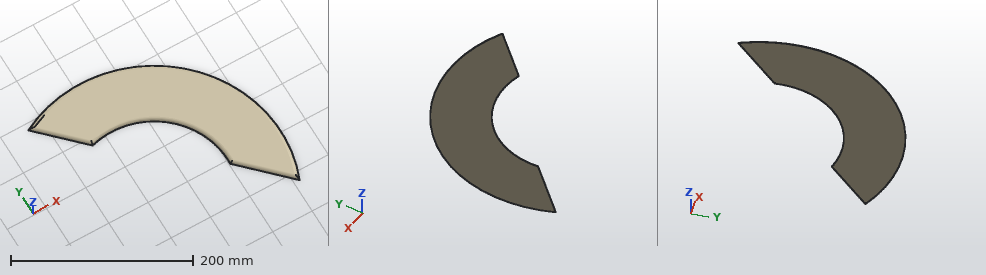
import cadquery as cq
import math

outer_radius = 161.0
inner_radius = 93.2
thickness = 3.0
edge_radius = 5.0
upper_end_offset = 44.7
lower_end_offset = 61.5
axis_angle = 45

edge_drop = edge_radius - thickness
edge_width = math.sqrt(edge_radius**2 - edge_drop**2)
half_angle = (math.pi / 2 + math.asin(edge_drop / edge_radius)) / 2
arc_mid_run = edge_radius * math.cos(half_angle)
arc_mid_height = edge_radius * math.sin(half_angle) - edge_drop


def rounded_section(plane, start, end, round_end):
    """Plate section from start to end with a rounded start and, if asked, end."""
    section = (
        cq.Workplane(plane)
        .moveTo(start, 0)
        .threePointArc(
            (start + edge_width - arc_mid_run, arc_mid_height),
            (start + edge_width, thickness),
        )
    )
    if round_end:
        section = section.lineTo(end - edge_width, thickness).threePointArc(
            (end - edge_width + arc_mid_run, arc_mid_height), (end, 0)
        )
    else:
        section = section.lineTo(end, thickness).lineTo(end, 0)
    return section.close()


def end_half(offset, side):
    """Half of the ring, on one side of the X axis, trimmed by a rounded straight end."""
    trim = rounded_section("XZ", offset, 2 * outer_radius, False)
    trim = trim.extrude(-side * 2 * outer_radius)
    return ring.intersect(trim)


ring = rounded_section("XZ", inner_radius, outer_radius, True).revolve(360, (0, 0, 0), (0, 1, 0))

upper_half = end_half(upper_end_offset, 1)
lower_half = end_half(lower_end_offset, -1)

result = upper_half.union(lower_half).clean().rotate((0, 0, 0), (0, 0, 1), axis_angle)